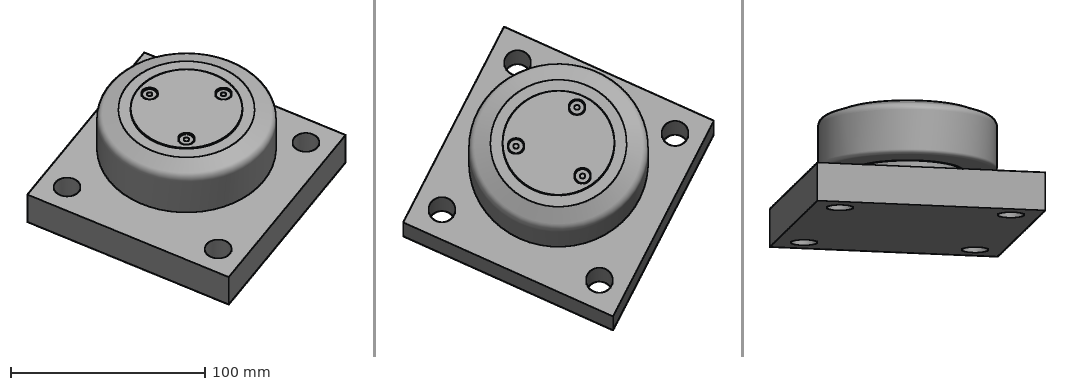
import cadquery as cq
import math

plate_side = 120.0
plate_thickness = 20.0
mount_hole_diameter = 13.8
mount_hole_spacing = 90.0

total_height = 61.0
neck_diameter = 59.0
neck_top = 29.8
spacer_diameter = 57.8

roller_diameter = 92.4
roller_bottom = 30.1
roller_top = 60.4
roller_flat_diameter = 70.2
crown_angle = 20.0
crown_edge_diameter = 87.0
bottom_edge_radius = 2.0

cap_diameter = 57.8
cap_chamfer = 0.2
screw_count = 3
screw_circle_radius = 22.0
screw_recess_diameter = 8.6
screw_recess_depth = 1.0
screw_head_diameter = 7.8
screw_head_height = 0.5
screw_socket_diameter = 2.8
screw_socket_depth = 0.2


def cylinder(diameter, bottom, top):
    return cq.Workplane("XY").workplane(offset=bottom).circle(diameter / 2).extrude(top - bottom)


def make_plate():
    plate = cq.Workplane("XY").box(plate_side, plate_side, plate_thickness, centered=(True, True, False))
    return (
        plate.faces(">Z").workplane()
        .rect(mount_hole_spacing, mount_hole_spacing, forConstruction=True)
        .vertices().hole(mount_hole_diameter)
    )


def make_roller():
    """Revolve the roller: rounded lower edge, cylindrical side, rounded shoulder, conical crown."""
    radius = roller_diameter / 2
    flat_radius = roller_flat_diameter / 2
    crown_radius = crown_edge_diameter / 2
    slope = math.radians(crown_angle)
    crown_bottom = roller_top - (crown_radius - flat_radius) * math.tan(slope)

    shoulder_radius = (radius - crown_radius) / (1 - math.sin(slope))
    side_top = crown_bottom - shoulder_radius * math.cos(slope)

    profile = (
        cq.Workplane("XZ")
        .moveTo(0, roller_bottom)
        .lineTo(radius - bottom_edge_radius, roller_bottom)
        .tangentArcPoint((radius, roller_bottom + bottom_edge_radius), relative=False)
        .lineTo(radius, side_top)
        .tangentArcPoint((crown_radius, crown_bottom), relative=False)
        .lineTo(flat_radius, roller_top)
        .lineTo(0, roller_top)
        .close()
    )
    return profile.revolve(360, (0, 0, 0), (0, 1, 0))


def cut_screws(body):
    """Set each screw head in a wider round recess, with a small socket in the head."""
    recess_floor = total_height - screw_recess_depth
    head_top = recess_floor + screw_head_height
    recess = cylinder(screw_recess_diameter, recess_floor, total_height)
    head = cylinder(screw_head_diameter, recess_floor, head_top)
    socket = cylinder(screw_socket_diameter, head_top - screw_socket_depth, head_top)
    screw_cut = recess.cut(head).union(socket)
    for index in range(screw_count):
        angle = math.pi + index * 2 * math.pi / screw_count
        position = (screw_circle_radius * math.cos(angle), screw_circle_radius * math.sin(angle), 0)
        body = body.cut(screw_cut.translate(position))
    return body


neck = cylinder(neck_diameter, plate_thickness, neck_top)
spacer = cylinder(spacer_diameter, neck_top, roller_bottom)
cap = cylinder(cap_diameter, roller_top, total_height).faces(">Z").chamfer(cap_chamfer)
result = cut_screws(make_plate().union(neck).union(spacer).union(make_roller()).union(cap))